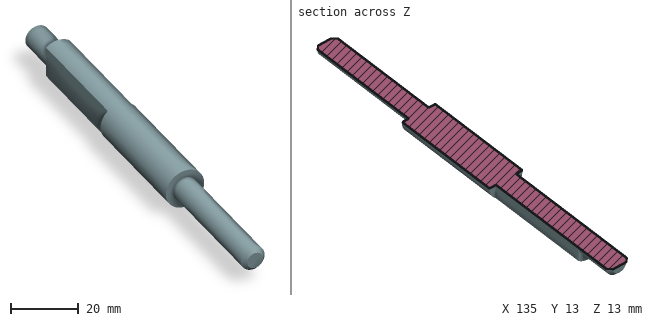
import cadquery as cq

total_length = 135.0
body_diameter = 13.0
pin_diameter = 8.0
front_pin_length = 14.0
body_length = 78.0
flat_length = 38.0
flat_thickness = pin_diameter
end_chamfer = 1.4

body_end = front_pin_length + body_length


def cylinder_along_x(start, length, diameter):
    return cq.Workplane("YZ").workplane(offset=start).circle(diameter / 2).extrude(length)


pin = cylinder_along_x(0, total_length, pin_diameter).faces("<X or >X").chamfer(end_chamfer)

flatted_section = cylinder_along_x(front_pin_length, flat_length, body_diameter).intersect(
    cq.Workplane("XY")
    .box(flat_length, flat_thickness, body_diameter, centered=(False, True, True))
    .translate((front_pin_length, 0, 0))
)
round_start = front_pin_length + flat_length
round_section = cylinder_along_x(round_start, body_end - round_start, body_diameter)

result = pin.union(round_section).union(flatted_section)